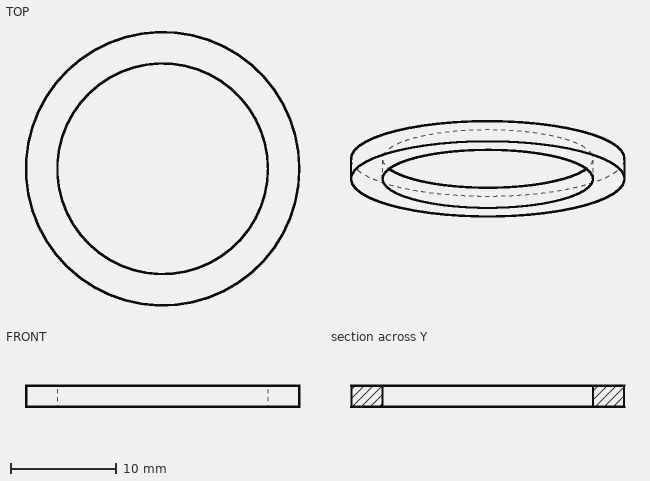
import cadquery as cq

outer_diameter = 26.0
inner_diameter = 20.0
thickness = 2.0

result = (
    cq.Workplane("XY")
    .circle(outer_diameter / 2)
    .circle(inner_diameter / 2)
    .extrude(thickness)
)